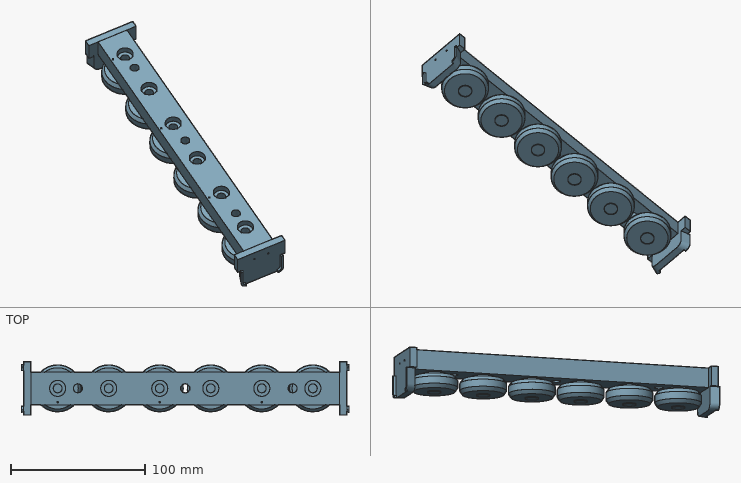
import cadquery as cq

overall_length = 244.0
overall_width = 40.0
overall_height = 32.2

bar_width = 24.5
bar_height = 15.0
counterbore_diameter = 12.0
counterbore_depth = 5.0
screw_hole_diameter = 6.5
mounting_hole_diameter = 6.5
mounting_hole_offset = 80.0
oil_hole_diameter = 1.0
oil_hole_y = -10.2

plate_thickness = 5.4
lip_depth = 1.7
lip_width = 1.7
skirt_width = 35.9
skirt_corner_radius = 4.6
skirt_narrowing = 2.5
pin_hole_spacing = 11.7
pin_hole_diameter = 1.0

roller_count = 6
roller_span = 190.0
roller_diameter = 35.1
rim_diameter = 35.0
face_diameter = 30.7
shoulder_height = 3.0
shoulder_bulge = 0.12
roller_height = 11.2
neck_diameter = 17.0
neck_height = 2.5
stub_diameter = 10.0
stub_height = 0.7

cap_depth = lip_depth + plate_thickness
bar_length = overall_length - 2 * cap_depth
side_taper = skirt_narrowing / cap_depth
skirt_height = overall_height - bar_height
seat_z = bar_height - counterbore_depth
roller_pitch = roller_span / (roller_count - 1)
roller_positions = [i * roller_pitch - roller_span / 2 for i in range(roller_count)]


def vertical_cylinder(diameter, bottom, top, x, y=0):
    return cq.Workplane("XY", origin=(x, y, bottom)).circle(diameter / 2).extrude(top - bottom)


def make_bar():
    bar = cq.Workplane("XY").box(bar_length, bar_width, bar_height, centered=(True, True, False))
    for x in roller_positions:
        bar = bar.cut(vertical_cylinder(screw_hole_diameter, 0, seat_z, x))
        bar = bar.cut(vertical_cylinder(counterbore_diameter, seat_z, bar_height, x))
    for x in (-mounting_hole_offset, 0, mounting_hole_offset):
        bar = bar.cut(vertical_cylinder(mounting_hole_diameter, 0, bar_height, x))
    for x in roller_positions[::2]:
        bar = bar.cut(vertical_cylinder(oil_hole_diameter, 0, bar_height, x, oil_hole_y))
    return bar


def make_tapered_block(outer_width, depth, height, corner_radius):
    """Block below Z = 0, from X = 0 along +X, narrowing with X, with rounded lower side edges."""
    outer_half = outer_width / 2
    inner_half = outer_half - depth * side_taper
    return (
        cq.Workplane("XY")
        .polyline([(0, -outer_half), (depth, -inner_half), (depth, inner_half), (0, outer_half)])
        .close()
        .extrude(-height)
        .faces("<Z")
        .edges("not |Y")
        .fillet(corner_radius)
    )


def make_lip_recess():
    """Outer recess that leaves a lip along both sides and around the lower corners."""
    pocket = make_tapered_block(
        skirt_width - 2 * lip_width,
        lip_depth,
        skirt_height - lip_width,
        skirt_corner_radius - lip_width,
    )
    gap_width = skirt_width - 2 * skirt_corner_radius
    gap = cq.Workplane("XY", origin=(0, 0, -skirt_height)).box(
        lip_depth, gap_width, skirt_height, centered=(False, True, False)
    )
    return pocket.union(gap)


def make_left_cap():
    """Cap with a wide head against the bar end and a narrower skirt below it."""
    head = cq.Workplane("XY", origin=(lip_depth, 0, 0)).box(
        plate_thickness, overall_width, bar_height, centered=(False, True, False)
    )
    skirt = make_tapered_block(skirt_width, cap_depth, skirt_height, skirt_corner_radius)
    pin_holes = (
        cq.Workplane("YZ", origin=(0, 0, bar_height / 2))
        .pushPoints([(-pin_hole_spacing / 2, 0), (pin_hole_spacing / 2, 0)])
        .circle(pin_hole_diameter / 2)
        .extrude(cap_depth)
    )
    cap = head.union(skirt.cut(make_lip_recess())).cut(pin_holes)
    return cap.translate((-overall_length / 2, 0, 0))


def make_roller(x):
    """Crowned roller with its neck and bottom stub, turned about a vertical axis."""
    crown = roller_diameter / 2
    rim = rim_diameter / 2
    face = face_diameter / 2
    top = -neck_height
    bottom = top - roller_height
    middle = (top + bottom) / 2
    return (
        cq.Workplane("XZ")
        .lineTo(neck_diameter / 2, 0)
        .lineTo(neck_diameter / 2, top)
        .lineTo(face, top)
        .sagittaArc((rim, top - shoulder_height), shoulder_bulge)
        .threePointArc((crown, middle), (rim, bottom + shoulder_height))
        .sagittaArc((face, bottom), shoulder_bulge)
        .lineTo(stub_diameter / 2, bottom)
        .lineTo(stub_diameter / 2, bottom - stub_height)
        .lineTo(0, bottom - stub_height)
        .close()
        .revolve(360, (0, 0, 0), (0, 1, 0))
        .translate((x, 0, 0))
    )


bar = make_bar()
left_cap = make_left_cap()
right_cap = left_cap.mirror("YZ")
rollers = [make_roller(x) for x in roller_positions]

result = cq.Compound.makeCompound(
    [bar.val(), left_cap.val(), right_cap.val(), *[roller.val() for roller in rollers]]
)